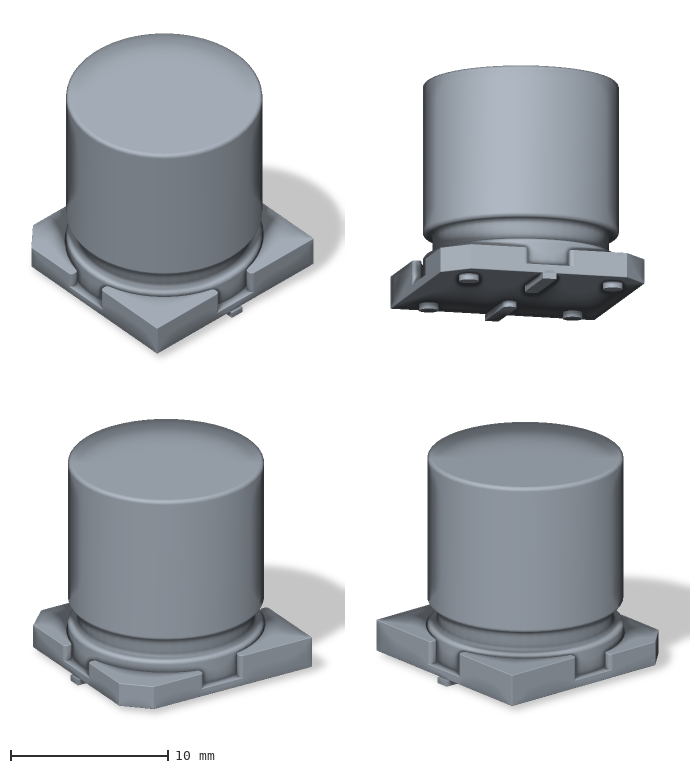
import cadquery as cq
import math

total_height = 14.0
can_diameter = 12.5
neck_diameter = 11.25
neck_bottom = 2.75
neck_top = 4.15
can_fillet = 0.25

base_width = 13.5
base_bottom = 0.4
floor_top = 0.95
low_top = 2.0
high_top = 2.5
corner_chamfer = 1.6
edge_fillet = 0.05
well_clearance = 0.08
notch_width = 2.75
notch_fillet = 0.25
inner_notch_fillet = 0.25

terminal_span = 13.8
terminal_inner_x = 2.2
terminal_width = 0.9
foot_diameter = 1.25
foot_offset = 4.75

can_radius = can_diameter / 2
neck_radius = neck_diameter / 2
half_width = base_width / 2
half_notch = notch_width / 2
well_radius = can_radius + well_clearance
tolerance = 0.001


def make_can():
    """Revolved can with a rounded top and a rounded neck groove."""
    near = can_fillet * (1 - math.sin(math.radians(45)))

    flare_radius = neck_radius + can_fillet
    shoulder_radius = can_radius - can_fillet
    profile = (
        cq.Workplane("XZ")
        .moveTo(0, base_bottom)
        .lineTo(can_radius, base_bottom)
        .lineTo(can_radius, neck_bottom - can_fillet)
        .threePointArc((can_radius - near, neck_bottom - near), (shoulder_radius, neck_bottom))
        .lineTo(flare_radius, neck_bottom)
        .threePointArc((neck_radius + near, neck_bottom + near), (neck_radius, neck_bottom + can_fillet))
        .lineTo(neck_radius, neck_top - can_fillet)
        .threePointArc((neck_radius + near, neck_top - near), (flare_radius, neck_top))
        .lineTo(shoulder_radius, neck_top)
        .threePointArc((can_radius - near, neck_top + near), (can_radius, neck_top + can_fillet))
        .lineTo(can_radius, total_height - can_fillet)
        .threePointArc((can_radius - near, total_height - near), (shoulder_radius, total_height))
        .lineTo(0, total_height)
        .close()
    )
    return profile.revolve(360, (0, 0), (0, 1))


def upright_edges(body, corner_x, corner_y):
    """Vertical edges above the floor at (+-corner_x, +-corner_y), also with X and Y swapped."""
    corners = ((corner_x, corner_y), (corner_y, corner_x))
    found = []
    for edge in body.edges("|Z").vals():
        center = edge.Center()
        near_corner = any(
            math.hypot(abs(center.x) - x, abs(center.y) - y) < tolerance for x, y in corners
        )
        if near_corner and center.z > floor_top:
            found.append(edge)
    return body.newObject(found)


def floor_rim_edges(body):
    """Outer edges of the floor, one at the mouth of each notch."""
    found = []
    for edge in body.edges("#Z").vals():
        center = edge.Center()
        on_floor = abs(center.z - floor_top) < tolerance
        on_outside = max(abs(center.x), abs(center.y)) > half_width - tolerance
        if on_floor and on_outside:
            found.append(edge)
    return body.newObject(found)


def make_base_block():
    """Square block with two chamfered corners, lower on the -X half."""
    block = (
        cq.Workplane("XY")
        .workplane(offset=base_bottom)
        .rect(base_width, base_width)
        .extrude(high_top - base_bottom)
    )
    block = block.edges("|Z and <X").chamfer(corner_chamfer)
    block = block.edges("|Z and >X").fillet(edge_fillet)
    step = (
        cq.Workplane("XY", origin=(-half_width / 2, 0, low_top))
        .rect(half_width, base_width)
        .extrude(high_top - low_top)
    )
    return block.cut(step)


def make_well_and_channels():
    """Volume removed above the floor: the round well and two crossing channels."""
    floor = cq.Workplane("XY", origin=(0, 0, floor_top))
    depth = high_top - floor_top
    well = floor.circle(well_radius).extrude(depth)
    channel_x = floor.rect(base_width, notch_width).extrude(depth)
    channel_y = floor.rect(notch_width, base_width).extrude(depth)
    return well.union(channel_x).union(channel_y)


def make_base():
    """Floor plate with four corner blocks around the can, all outer edges rounded."""
    base = make_base_block().cut(make_well_and_channels())

    well_corner = math.sqrt(well_radius**2 - half_notch**2)
    base = upright_edges(base, half_width, half_notch).fillet(notch_fillet)
    base = upright_edges(base, half_notch, well_corner).fillet(inner_notch_fillet)

    for block_top in (low_top, high_top):
        top_slab = cq.selectors.BoxSelector(
            (-base_width, -base_width, block_top - tolerance),
            (base_width, base_width, block_top + tolerance),
        )
        base = base.faces("|Z").faces(top_slab).edges().fillet(edge_fillet)
    base = base.faces("<Z").edges().fillet(edge_fillet)
    return floor_rim_edges(base).fillet(edge_fillet)


def make_terminal(side):
    """Flat terminal with a round inner end; side is +1 for +X and -1 for -X."""
    half_terminal = terminal_width / 2
    round_center = terminal_inner_x + half_terminal
    outer_x = terminal_span / 2
    return (
        cq.Workplane("XY")
        .moveTo(side * outer_x, -half_terminal)
        .lineTo(side * round_center, -half_terminal)
        .threePointArc((side * terminal_inner_x, 0), (side * round_center, half_terminal))
        .lineTo(side * outer_x, half_terminal)
        .close()
        .extrude(base_bottom)
    )


def make_feet():
    """Four round feet under the base corners."""
    return (
        cq.Workplane("XY")
        .rect(2 * foot_offset, 2 * foot_offset, forConstruction=True)
        .vertices()
        .circle(foot_diameter / 2)
        .extrude(base_bottom)
    )


result = make_base().union(make_can()).union(make_feet())
for terminal_side in (-1, 1):
    result = result.union(make_terminal(terminal_side))